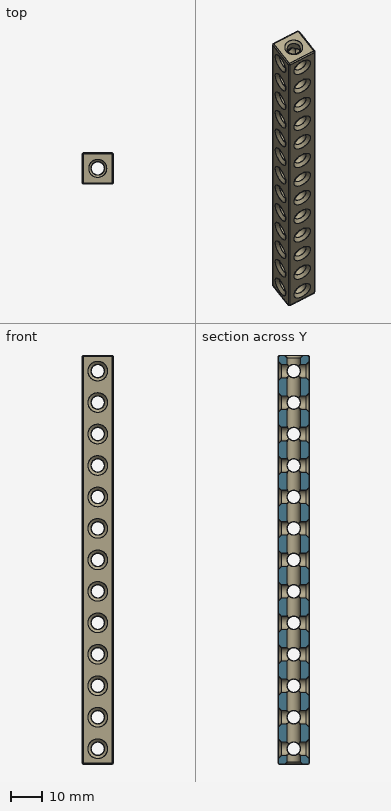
import cadquery as cq

length = 130.0
hole_count = 13
pitch = length / hole_count
side = pitch
edge_chamfer = 0.4

hole_diameter = 4.2
cross_mouth_diameter = 6.2
end_mouth_diameter = 5.7


def countersunk_hole(depth, mouth_diameter):
    """Cutter along +Z from the origin, widening to the mouth at both ends."""
    hole_radius = hole_diameter / 2
    mouth_radius = mouth_diameter / 2
    mouth_depth = mouth_radius - hole_radius
    return (
        cq.Workplane("XZ")
        .moveTo(0, 0)
        .lineTo(mouth_radius, 0)
        .lineTo(hole_radius, mouth_depth)
        .lineTo(hole_radius, depth - mouth_depth)
        .lineTo(mouth_radius, depth)
        .lineTo(0, depth)
        .close()
        .revolve(360, (0, 0, 0), (0, 1, 0))
    )


beam = cq.Workplane("XY").box(side, side, length, centered=(True, True, False))
beam = beam.edges().chamfer(edge_chamfer)

result = beam.cut(countersunk_hole(length, end_mouth_diameter))

cross_hole = countersunk_hole(side, cross_mouth_diameter).translate((0, 0, -side / 2))
hole_along_x = cross_hole.rotate((0, 0, 0), (0, 1, 0), 90)
hole_along_y = cross_hole.rotate((0, 0, 0), (1, 0, 0), 90)
for index in range(hole_count):
    height = (index + 0.5) * pitch
    result = result.cut(hole_along_x.translate((0, 0, height)))
    result = result.cut(hole_along_y.translate((0, 0, height)))